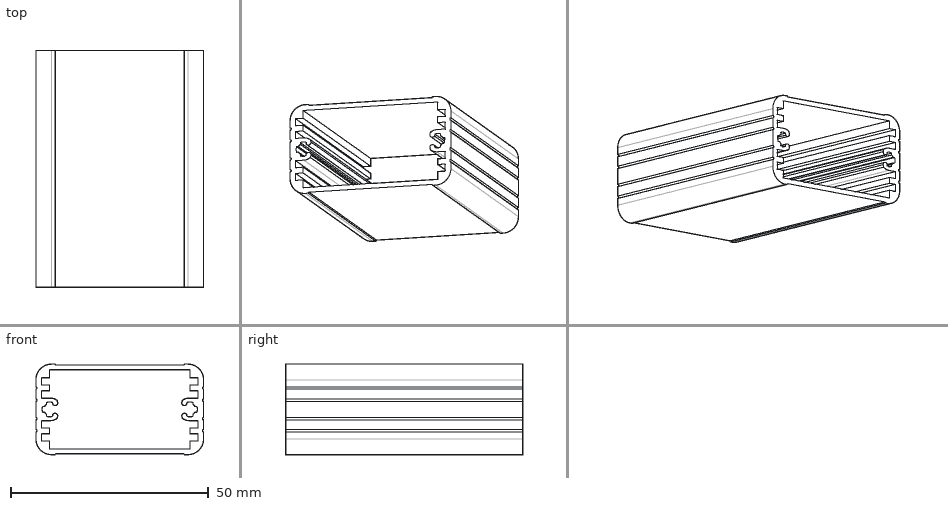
import cadquery as cq
import math

LENGTH = 60.0
WIDTH = 42.5
HEIGHT = 23.0
CORNER_RADIUS = 4.0

CORNER_WALL = 3.5
CAVITY_HEIGHT = 20.0

PAD_WIDTH = 4.8
RECESS_DEPTH = 0.25

SLOT_FLOOR_WALL = 1.5
SLOT_WIDTH = 1.8
OUTER_SLOT_Z = 7.1
INNER_SLOT_Z = 3.8

GROOVE_RADIUS = 0.3
GROOVE_HEIGHTS = (2.35, 5.4)

BORE_DEPTH = 3.5
BORE_RADIUS = 1.45
FLUTE_RADIUS = 1.85
FLUTE_WIDTH = 1.45

LIP_TOP_Z = INNER_SLOT_Z - SLOT_WIDTH / 2
LIP_BEND_DEPTH = 3.65
LIP_BEND_RADIUS = 2.9
LIP_CORNER_DEPTH = 5.4
TIP_DEPTH = 4.85
TIP_Z = 1.7
TIP_RADIUS = 0.7
TIP_INNER_ANGLE = 220.0

HALF_WIDTH = WIDTH / 2
HALF_HEIGHT = HEIGHT / 2
SIGNS = (-1, 1)


def section():
    """Workplane for drawing in X and Z, centred on the length."""
    return cq.Workplane("XZ", origin=(0, LENGTH / 2, 0))


def bar(x, z, width, height):
    """Full length rectangular bar centred at (x, z)."""
    return section().center(x, z).rect(width, height).extrude(LENGTH)


def rod(x, z, radius):
    """Full length round rod centred at (x, z)."""
    return section().center(x, z).circle(radius).extrude(LENGTH)


def shell():
    outside = bar(0, 0, WIDTH, HEIGHT).edges("|Y").fillet(CORNER_RADIUS)
    return outside.cut(bar(0, 0, WIDTH - 2 * CORNER_WALL, CAVITY_HEIGHT))


def face_recess(side):
    top_half = HALF_WIDTH - PAD_WIDTH
    floor_half = top_half - RECESS_DEPTH
    face_z = side * HALF_HEIGHT
    floor_z = side * (HALF_HEIGHT - RECESS_DEPTH)
    outline = [(-top_half, face_z), (-floor_half, floor_z), (floor_half, floor_z), (top_half, face_z)]
    return section().polyline(outline).close().extrude(LENGTH)


def card_slot(side, z):
    depth = CORNER_WALL - SLOT_FLOOR_WALL
    x = side * (HALF_WIDTH - SLOT_FLOOR_WALL - depth / 2)
    return bar(x, z, depth, SLOT_WIDTH)


def channel_lip(side, direction):
    """One lip with the wall behind it; its bore is opened afterwards."""

    def place(depth, z):
        return side * (HALF_WIDTH - depth), direction * z

    def on_bend(depth):
        run = depth - LIP_BEND_DEPTH
        drop = LIP_BEND_RADIUS - math.sqrt(LIP_BEND_RADIUS**2 - run**2)
        return place(depth, LIP_TOP_Z - drop)

    def on_tip(angle):
        turn = math.radians(angle)
        return place(TIP_DEPTH + TIP_RADIUS * math.cos(turn), TIP_Z + TIP_RADIUS * math.sin(turn))

    flute_edge_z = math.sqrt(FLUTE_RADIUS**2 - (FLUTE_WIDTH / 2) ** 2)
    return (
        section()
        .moveTo(*place(SLOT_FLOOR_WALL, 0))
        .lineTo(*place(SLOT_FLOOR_WALL, LIP_TOP_Z))
        .lineTo(*place(LIP_BEND_DEPTH, LIP_TOP_Z))
        .threePointArc(on_bend((LIP_BEND_DEPTH + LIP_CORNER_DEPTH) / 2), on_bend(LIP_CORNER_DEPTH))
        .lineTo(*on_tip(360))
        .threePointArc(on_tip(270), on_tip(TIP_INNER_ANGLE))
        .lineTo(*place(BORE_DEPTH + FLUTE_WIDTH / 2, flute_edge_z))
        .lineTo(*place(BORE_DEPTH, 0))
        .close()
        .extrude(LENGTH)
    )


def channel_bore(side):
    """Round bore with three flutes: toward the wall, up and down."""
    center_x = side * (HALF_WIDTH - BORE_DEPTH)
    cross = bar(center_x, 0, FLUTE_WIDTH, 2 * FLUTE_RADIUS).union(
        bar(center_x + side * FLUTE_RADIUS / 2, 0, FLUTE_RADIUS, FLUTE_WIDTH)
    )
    flutes = rod(center_x, 0, FLUTE_RADIUS).intersect(cross)
    return rod(center_x, 0, BORE_RADIUS).union(flutes)


result = shell()
for side in SIGNS:
    result = result.cut(face_recess(side))
    for direction in SIGNS:
        result = result.union(channel_lip(side, direction))
        for slot_z in (INNER_SLOT_Z, OUTER_SLOT_Z):
            result = result.cut(card_slot(side, direction * slot_z))
        for groove_z in GROOVE_HEIGHTS:
            result = result.cut(rod(side * HALF_WIDTH, direction * groove_z, GROOVE_RADIUS))
    result = result.cut(channel_bore(side))